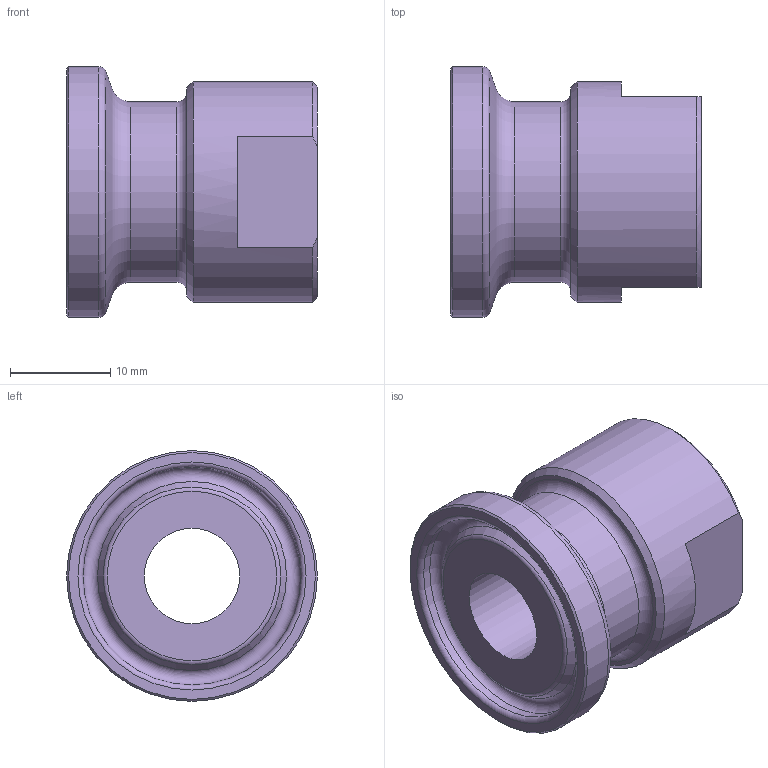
import cadquery as cq
import math


length = 25.0
bore_radius = 4.75

flange_radius = 12.5
flange_front_chamfer = 0.2
flange_rim_end = 3.2
flange_back_fillet = 0.75
clamp_angle = math.radians(20)

seat_recess = 0.8
groove_outer_radius = 10.87
groove_depth = 2.15
groove_bottom_fillet = 0.8
groove_lip_fillet = 0.5
groove_wall_angle = math.radians(35)

neck_radius = 9.0
neck_flange_fillet = 2.0
neck_body_fillet = 1.0

body_radius = 11.0
body_start = 12.0
body_front_chamfer = 0.6
body_end_chamfer = 0.5

flat_distance = 9.5
flat_start = 17.0


def arc_point(center_x, center_r, radius, angle):
    """Point on a circle of the profile; the angle runs from +X towards +radius."""
    return (center_x + radius * math.cos(angle), center_r + radius * math.sin(angle))


def revolve_profile(profile):
    """Close a profile drawn in (X, radius) and turn it about the X axis."""
    return profile.close().revolve(360, (0, 0, 0), (1, 0, 0))


def make_turned_body():
    """Flange, neck and body without the face recess."""
    rim_fillet_r = flange_radius - flange_back_fillet
    rim_fillet_mid = (math.pi / 2 + clamp_angle) / 2
    slope_top = arc_point(flange_rim_end, rim_fillet_r, flange_back_fillet, clamp_angle)

    neck_fillet_r = neck_radius + neck_flange_fillet
    slope_bottom_r = neck_fillet_r - neck_flange_fillet * math.sin(clamp_angle)
    slope_bottom_x = slope_top[0] + (slope_top[1] - slope_bottom_r) * math.tan(clamp_angle)
    neck_start = slope_bottom_x + neck_flange_fillet * math.cos(clamp_angle)
    neck_fillet_mid = math.pi + (math.pi / 2 + clamp_angle) / 2

    neck_end = body_start - neck_body_fillet
    body_fillet_r = neck_radius + neck_body_fillet

    profile = (
        cq.Workplane("XY")
        .moveTo(0, bore_radius)
        .lineTo(0, flange_radius - flange_front_chamfer)
        .lineTo(flange_front_chamfer, flange_radius)
        .lineTo(flange_rim_end, flange_radius)
        .threePointArc(
            arc_point(flange_rim_end, rim_fillet_r, flange_back_fillet, rim_fillet_mid),
            slope_top,
        )
        .lineTo(slope_bottom_x, slope_bottom_r)
        .threePointArc(
            arc_point(neck_start, neck_fillet_r, neck_flange_fillet, neck_fillet_mid),
            (neck_start, neck_radius),
        )
        .lineTo(neck_end, neck_radius)
        .threePointArc(
            arc_point(neck_end, body_fillet_r, neck_body_fillet, -math.pi / 4),
            (body_start, body_fillet_r),
        )
        .lineTo(body_start, body_radius - body_front_chamfer)
        .lineTo(body_start + body_front_chamfer, body_radius)
        .lineTo(length - body_end_chamfer, body_radius)
        .lineTo(length, body_radius - body_end_chamfer)
        .lineTo(length, bore_radius)
    )
    return revolve_profile(profile)


def make_face_recess():
    """Cut in the flange face: recessed seat and a round-bottomed groove with a sloped inner wall."""
    bottom_x = groove_depth - groove_bottom_fillet
    bottom_r = groove_outer_radius - groove_bottom_fillet
    outer_lip_r = groove_outer_radius + groove_lip_fillet

    inner_wall_angle = -math.pi / 2 + groove_wall_angle
    wall_bottom = arc_point(bottom_x, bottom_r, groove_bottom_fillet, inner_wall_angle)
    wall_top_x = seat_recess + groove_lip_fillet * (1 - math.sin(groove_wall_angle))
    wall_top_r = wall_bottom[1] - (wall_bottom[0] - wall_top_x) * math.tan(groove_wall_angle)
    inner_lip_r = wall_top_r - groove_lip_fillet * math.cos(groove_wall_angle)
    inner_lip_x = seat_recess + groove_lip_fillet
    inner_lip_mid = math.pi - (math.pi / 2 - groove_wall_angle) / 2

    profile = (
        cq.Workplane("XY")
        .moveTo(0, outer_lip_r)
        .threePointArc(
            arc_point(groove_lip_fillet, outer_lip_r, groove_lip_fillet, -3 * math.pi / 4),
            (groove_lip_fillet, groove_outer_radius),
        )
        .lineTo(bottom_x, groove_outer_radius)
        .threePointArc(arc_point(bottom_x, bottom_r, groove_bottom_fillet, 0), wall_bottom)
        .lineTo(wall_top_x, wall_top_r)
        .threePointArc(
            arc_point(inner_lip_x, inner_lip_r, groove_lip_fillet, inner_lip_mid),
            (seat_recess, inner_lip_r),
        )
        .lineTo(seat_recess, bore_radius)
        .lineTo(0, bore_radius)
    )
    return revolve_profile(profile)


def make_flat_cutter(side):
    """Block outside one wrench flat; side is +1 or -1 along Y."""
    flat_length = length - flat_start
    cut_height = body_radius - flat_distance
    return cq.Workplane("XY").box(flat_length, cut_height, 2 * body_radius).translate(
        (flat_start + flat_length / 2, side * (flat_distance + cut_height / 2), 0)
    )


result = make_turned_body().cut(make_face_recess())
for side in (-1, 1):
    result = result.cut(make_flat_cutter(side))